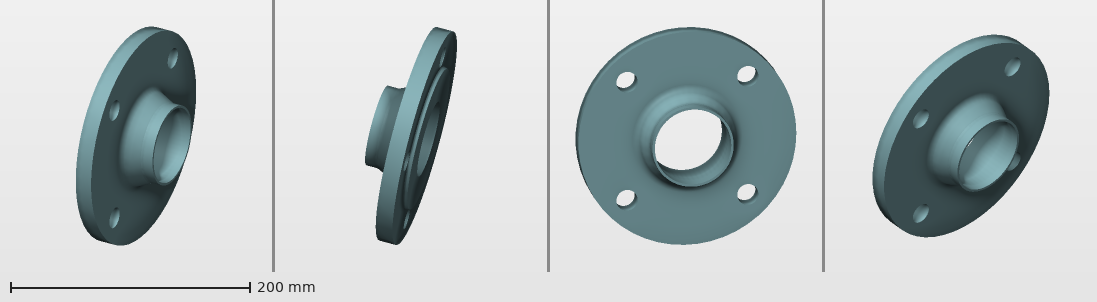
import cadquery as cq

total_length = 45.0
raised_face_height = 3.3
plate_thickness = 14.6
weld_end_length = 10.0

flange_diameter = 185.0
raised_face_tip_diameter = 122.0
raised_face_base_diameter = 124.7
hub_base_diameter = 84.7
pipe_diameter = 69.0
bore_diameter = 65.0

hub_base_fillet = 6.3
weld_end_fillet = 5.0

bolt_hole_diameter = 18.0
bolt_circle_diameter = 145.0
bolt_hole_count = 4
first_bolt_angle = 45.0

plate_front = raised_face_height
plate_back = plate_front + plate_thickness
weld_end_start = total_length - weld_end_length


def flange_body():
    """Revolve the solid outline of raised face, plate, hub and weld end about X."""
    outline = (
        cq.Workplane("XY")
        .moveTo(0, 0)
        .lineTo(0, raised_face_tip_diameter / 2)
        .lineTo(plate_front, raised_face_base_diameter / 2)
        .lineTo(plate_front, flange_diameter / 2)
        .lineTo(plate_back, flange_diameter / 2)
        .lineTo(plate_back, hub_base_diameter / 2)
        .lineTo(weld_end_start, pipe_diameter / 2)
        .lineTo(total_length, pipe_diameter / 2)
        .lineTo(total_length, 0)
        .close()
    )
    return outline.revolve(360, (0, 0, 0), (1, 0, 0))


def edges_at(x):
    """Select the circular edges lying in the plane at the given X."""
    tolerance = 0.02
    return cq.selectors.BoxSelector(
        (x - tolerance, -flange_diameter, -flange_diameter),
        (x + tolerance, flange_diameter, flange_diameter),
    )


def round_hub(body):
    """Round the corner at the root of the hub and the bend into the weld end."""
    hub_root = cq.selectors.RadiusNthSelector(0)
    body = body.edges(edges_at(plate_back)).edges(hub_root).fillet(hub_base_fillet)
    return body.edges(edges_at(weld_end_start)).fillet(weld_end_fillet)


def bore():
    return cq.Workplane("YZ").circle(bore_diameter / 2).extrude(total_length)


def bolt_holes():
    return (
        cq.Workplane("YZ")
        .polarArray(bolt_circle_diameter / 2, first_bolt_angle, 360, bolt_hole_count)
        .circle(bolt_hole_diameter / 2)
        .extrude(plate_back)
    )


result = round_hub(flange_body()).cut(bore()).cut(bolt_holes())